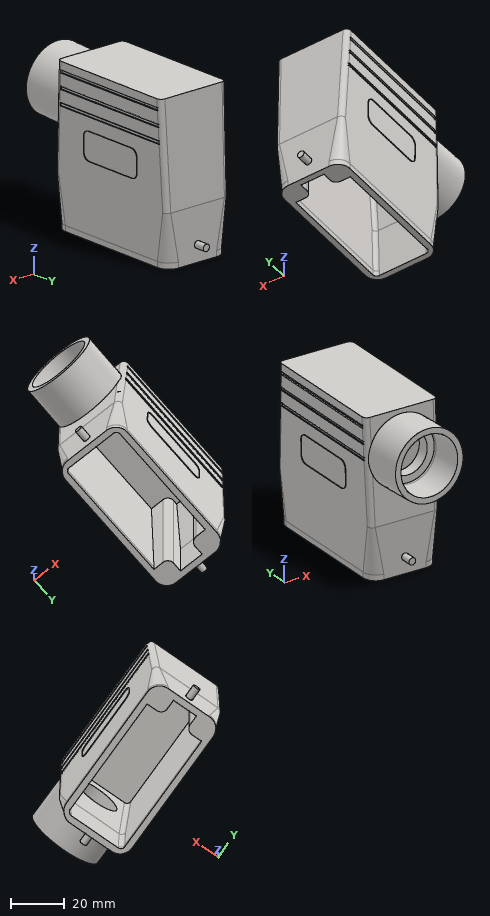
import cadquery as cq
import math

OVERALL_LENGTH = 85.3
HOOD_HEIGHT = 67.3
RIM_HEIGHT = 2.5
SHOULDER_HEIGHT = 22.6
BASE_WIDTH = 29.85
TOP_WIDTH = 32.4
BASE_LENGTH = 63.0
END_DRAFT = math.radians(3)
SIDE_FLARE_SLOPE = (TOP_WIDTH - BASE_WIDTH) / 2 / (HOOD_HEIGHT - RIM_HEIGHT)
RIM_CORNER_RADIUS = 5.55
UPPER_CORNER_RADIUS = 2.1

WALL_THICKNESS = 2.6
CAVITY_CORNER_RADIUS = 1.7
CAVITY_TOP = HOOD_HEIGHT - WALL_THICKNESS

COLUMN_GAP = 10.4
COLUMN_FACE_Y = 22.2
COLUMN_RADIUS = 2.8

PIN_DIAMETER = 3.0
PIN_SPAN = 73.0
PIN_LENGTH = 6.8
PIN_Z = 7.2

COLLAR_DIAMETER = 30.0
COLLAR_LENGTH = 19.2
COLLAR_MOUTH_Y = PIN_SPAN / 2 - OVERALL_LENGTH + COLLAR_DIAMETER / 2 * math.sin(END_DRAFT)
COLLAR_MOUTH_Z = 51.3
BORE_MOUTH_DIAMETER = 25.2
BORE_SEAT_DIAMETER = 24.2
BORE_DEPTH = 15.2
BORE_SEAT_LENGTH = 1.2
ENTRY_HOLE_DIAMETER = 18.0
ENTRY_HOLE_DEPTH = COLLAR_LENGTH + 2 * WALL_THICKNESS

GROOVE_TOP_Z = 63.8
GROOVE_PITCH = 6.6
GROOVE_COUNT = 3
GROOVE_HEIGHT = 1.3
GROOVE_FLOOR_X = 15.35

LABEL_LENGTH = 30.0
LABEL_HEIGHT = 12.0
LABEL_Z = 37.6
LABEL_CORNER_RADIUS = 3.0
LABEL_DEPTH = 0.25


def hood_width(z):
    """Width along X, constant over the rim and growing evenly up to the roof."""
    rise = max(0, z - RIM_HEIGHT)
    return BASE_WIDTH + 2 * SIDE_FLARE_SLOPE * rise


def hood_length(z):
    """Length along Y, constant up to the shoulder and shrinking above it."""
    return BASE_LENGTH - 2 * math.tan(END_DRAFT) * max(0, z - SHOULDER_HEIGHT)


def section(z, corner_radius, inset):
    """Rounded rectangle of the hood at height z, moved inward by inset."""
    outline = cq.Sketch().rect(hood_width(z) - 2 * inset, hood_length(z) - 2 * inset)
    outline = outline.vertices().fillet(corner_radius)
    return outline.moved(cq.Location(cq.Vector(0, 0, z)))


def lofted_body(levels, inset=0):
    """Straight-sided lofts stacked through (height, corner radius) levels."""
    body = cq.Workplane("XY")
    for low, high in zip(levels, levels[1:]):
        stage = cq.Workplane("XY").placeSketch(section(*low, inset), section(*high, inset))
        body = body.union(stage.loft(ruled=True))
    return body


def hood():
    return lofted_body([
        (0, RIM_CORNER_RADIUS),
        (RIM_HEIGHT, RIM_CORNER_RADIUS),
        (SHOULDER_HEIGHT, UPPER_CORNER_RADIUS),
        (HOOD_HEIGHT, UPPER_CORNER_RADIUS),
    ])


def cavity():
    heights = (0, RIM_HEIGHT, SHOULDER_HEIGHT, CAVITY_TOP)
    space = lofted_body([(z, CAVITY_CORNER_RADIUS) for z in heights], WALL_THICKNESS)
    return space.cut(columns())


def columns():
    """Columns filling the +Y cavity corners, rounded on their free edges."""
    width = (TOP_WIDTH - COLUMN_GAP) / 2
    depth = BASE_LENGTH / 2 - COLUMN_FACE_Y
    pair = cq.Workplane("XY")
    for side in (-1, 1):
        column = cq.Workplane("XY").box(width, depth, CAVITY_TOP, centered=(True, False, False))
        free_edge = "|Z and <Y and " + ("<X" if side > 0 else ">X")
        column = column.edges(free_edge).fillet(COLUMN_RADIUS)
        pair = pair.union(column.translate((side * (COLUMN_GAP + width) / 2, COLUMN_FACE_Y, 0)))
    return pair


def collar_plane():
    """Plane on the collar mouth, with its normal pointing into the hood."""
    return cq.Plane(
        origin=(0, COLLAR_MOUTH_Y, COLLAR_MOUTH_Z),
        xDir=(1, 0, 0),
        normal=(0, math.cos(END_DRAFT), -math.sin(END_DRAFT)),
    )


def collar():
    return cq.Workplane(collar_plane()).circle(COLLAR_DIAMETER / 2).extrude(COLLAR_LENGTH)


def cable_entry():
    """Tapered bore ending in a round seat, and the smaller hole through the end wall."""
    taper_length = BORE_DEPTH - BORE_SEAT_LENGTH
    taper = cq.Workplane(collar_plane()).circle(BORE_MOUTH_DIAMETER / 2)
    taper = taper.workplane(offset=taper_length).circle(BORE_SEAT_DIAMETER / 2).loft()
    seat = cq.Workplane(collar_plane()).circle(BORE_SEAT_DIAMETER / 2).extrude(BORE_DEPTH)
    hole = cq.Workplane(collar_plane()).circle(ENTRY_HOLE_DIAMETER / 2).extrude(ENTRY_HOLE_DEPTH)
    return taper.union(seat).union(hole)


def pins():
    pin = cq.Workplane("XZ", origin=(0, PIN_SPAN / 2, PIN_Z))
    pin = pin.circle(PIN_DIAMETER / 2).extrude(PIN_LENGTH)
    return pin.union(pin.mirror("XZ"))


def grooves():
    """Grooves on the +X side, ending where the rounded corners begin."""
    cut = cq.Workplane("XY")
    for index in range(GROOVE_COUNT):
        z = GROOVE_TOP_Z - index * GROOVE_PITCH - GROOVE_HEIGHT / 2
        length = hood_length(z) - 2 * UPPER_CORNER_RADIUS
        groove = cq.Workplane("XY").box(TOP_WIDTH, length, GROOVE_HEIGHT)
        cut = cut.union(groove.translate((GROOVE_FLOOR_X + TOP_WIDTH / 2, 0, z)))
    return cut


def label_recess():
    """Recess on the +X side, following the slope of the flaring side."""
    flare = math.degrees(math.atan(SIDE_FLARE_SLOPE))
    floor_x = hood_width(LABEL_Z) / 2 - LABEL_DEPTH
    block = cq.Workplane("XY").box(WALL_THICKNESS, LABEL_LENGTH, LABEL_HEIGHT)
    block = block.edges("|X").fillet(LABEL_CORNER_RADIUS).translate((WALL_THICKNESS / 2, 0, 0))
    return block.rotate((0, 0, 0), (0, 1, 0), flare).translate((floor_x, 0, LABEL_Z))


side_cuts = grooves().union(label_recess())
body = hood().union(collar())
body = body.cut(cavity()).cut(cable_entry())
body = body.cut(side_cuts).cut(side_cuts.mirror("YZ"))
result = body.union(pins()).solids()